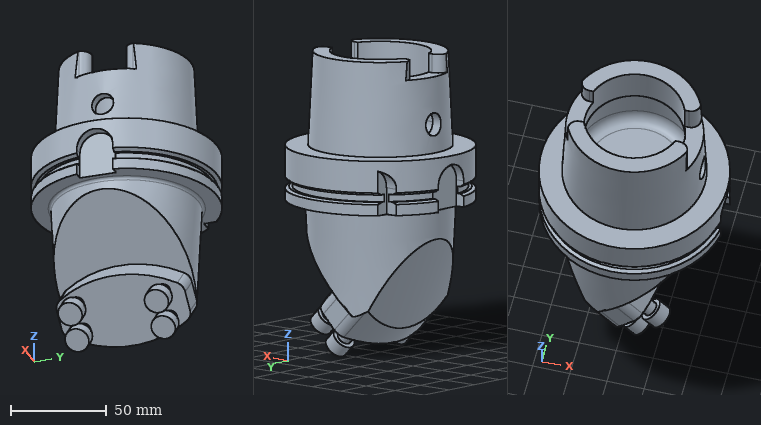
import cadquery as cq
import math


shank_length = 49.9
shank_base_radius = 37.9
shank_top_radius = 35.5
bore_diameter = 53.0
bore_depth = 20.0
cavity_diameter = 63.1
cavity_floor_diameter = 49.9
cross_hole_diameter = 12.0
cross_hole_height = 15.0

key_width = 20.0
left_notch_depth = 9.9
right_notch_depth = 15.0
notch_corner_radius = 5.1
notch_corner_reach = 32.0

flange_diameter = 99.9
flange_thickness = 29.0
groove_radius = 46.0
groove_lip_radius = 47.8
groove_top = -18.2
groove_bottom = -22.0
groove_bevel_top = 1.5
groove_bevel_bottom = 1.0

keyway_floor = 44.0
keyway_top = -4.8
side_slot_floor = 31.8
side_slot_centre = 41.5

neck_radius = 39.5
neck_taper = 0.05
neck_fillet = 1.6
neck_end = -115.1

pad_centre_x = -5.5
pad_centre_z = -79.6
pad_thickness = 14.5
pad_height = 40.0
pad_width = 71.3
pad_arc_radius = 62.7
pad_corner_radius = 6.4

screw_spacing_across = 48.0
screw_spacing_along = 14.9
screw_diameter = 8.0
screw_reach = 6.7
screw_head_diameter = 13.0
screw_head_length = 7.8

relief_angle = 22.5
relief_radius = 119.9
relief_start_x = -38.5
relief_start_z = -46.2

beyond = 239.8

flange_radius = flange_diameter / 2
pad_plane = cq.Plane(origin=(pad_centre_x, 0, pad_centre_z), xDir=(1, 0, 1), normal=(1, 0, -1))


def revolve_profile(points):
    """Turn an outline of (radius, height) points about the Z axis."""
    return cq.Workplane("XZ").polyline(points).close().revolve(360, (0, 0), (0, 1))


def make_shank():
    return revolve_profile([
        (0, 0),
        (shank_base_radius, 0),
        (shank_top_radius, shank_length),
        (0, shank_length),
    ])


def make_cavity():
    """Bore that steps out to a wider cavity, whose wall rounds into a flat floor."""
    bore_radius = bore_diameter / 2
    cavity_radius = cavity_diameter / 2
    floor_radius = cavity_floor_diameter / 2
    step_height = shank_length - bore_depth
    round_radius = cavity_radius - floor_radius
    round_top = cross_hole_height - cross_hole_diameter / 2
    floor_height = round_top - round_radius
    diagonal = round_radius * math.sqrt(0.5)
    return (
        cq.Workplane("XZ")
        .moveTo(0, floor_height)
        .lineTo(floor_radius, floor_height)
        .threePointArc((floor_radius + diagonal, round_top - diagonal), (cavity_radius, round_top))
        .lineTo(cavity_radius, step_height)
        .lineTo(bore_radius, step_height)
        .lineTo(bore_radius, shank_length)
        .lineTo(0, shank_length)
        .close()
        .revolve(360, (0, 0), (0, 1))
    )


def make_cross_hole():
    hole = cq.Workplane("YZ").center(0, cross_hole_height).circle(cross_hole_diameter / 2)
    return hole.extrude(flange_radius, both=True)


def make_notch(side, depth):
    """Drive notch on the +X (side = 1) or -X (side = -1) rim, flaring out in round corners."""
    half_width = key_width / 2
    arc_start_x = notch_corner_reach - notch_corner_radius
    arc_end_y = half_width + notch_corner_radius
    diagonal = notch_corner_radius * math.sqrt(0.5)
    arc_mid_x = arc_start_x + diagonal
    arc_mid_y = arc_end_y - diagonal
    outline = (
        cq.Workplane("XY", origin=(0, 0, shank_length - depth))
        .moveTo(0, half_width)
        .lineTo(side * arc_start_x, half_width)
        .threePointArc((side * arc_mid_x, arc_mid_y), (side * notch_corner_reach, arc_end_y))
        .lineTo(side * notch_corner_reach, shank_base_radius)
        .lineTo(side * flange_radius, shank_base_radius)
        .lineTo(side * flange_radius, -shank_base_radius)
        .lineTo(side * notch_corner_reach, -shank_base_radius)
        .lineTo(side * notch_corner_reach, -arc_end_y)
        .threePointArc((side * arc_mid_x, -arc_mid_y), (side * arc_start_x, -half_width))
        .lineTo(0, -half_width)
        .close()
    )
    return outline.extrude(depth)


def make_flange():
    return revolve_profile([
        (0, 0),
        (flange_radius, 0),
        (flange_radius, groove_top + groove_bevel_top),
        (groove_lip_radius, groove_top),
        (groove_radius, groove_top),
        (groove_radius, groove_bottom),
        (groove_lip_radius, groove_bottom),
        (flange_radius, groove_bottom - groove_bevel_bottom),
        (flange_radius, -flange_thickness),
        (0, -flange_thickness),
    ])


def make_rim_slot(side, floor, centre_y):
    """Slot along X, round at the top and open below, from its floor out past the rim."""
    half_width = key_width / 2
    arc_centre = keyway_top - half_width
    outline = (
        cq.Workplane("YZ", origin=(side * floor, centre_y, 0))
        .moveTo(-half_width, -flange_thickness)
        .lineTo(-half_width, arc_centre)
        .threePointArc((0, keyway_top), (half_width, arc_centre))
        .lineTo(half_width, -flange_thickness)
        .close()
    )
    return outline.extrude(side * flange_radius)


def make_neck():
    fillet_end = -flange_thickness - neck_fillet
    tip_radius = neck_radius + neck_taper * (neck_end - fillet_end)
    diagonal = neck_fillet * (1 - math.sqrt(0.5))
    return (
        cq.Workplane("XZ")
        .moveTo(0, -flange_thickness)
        .lineTo(neck_radius + neck_fillet, -flange_thickness)
        .threePointArc(
            (neck_radius + diagonal, -flange_thickness - diagonal),
            (neck_radius, fillet_end),
        )
        .lineTo(tip_radius, neck_end)
        .lineTo(0, neck_end)
        .close()
        .revolve(360, (0, 0), (0, 1))
    )


def make_pad_prism(back, front):
    """Pad section, an arc above and below between flat sides, as a prism along its normal."""
    half_height = pad_height / 2
    half_width = pad_width / 2
    arc_drop = pad_arc_radius - math.sqrt(pad_arc_radius**2 - half_width**2)
    side_half = half_height - arc_drop
    return (
        cq.Workplane(pad_plane)
        .workplane(offset=back)
        .moveTo(-side_half, -half_width)
        .lineTo(side_half, -half_width)
        .threePointArc((half_height, 0), (side_half, half_width))
        .lineTo(-side_half, half_width)
        .threePointArc((-half_height, 0), (-side_half, -half_width))
        .close()
        .extrude(front - back)
        .edges("|(1, 0, -1)")
        .fillet(pad_corner_radius)
    )


def make_neck_envelope():
    """Space the neck may fill behind the mounting face: the pad section below, open above."""
    arc_centre_drop = pad_arc_radius - pad_height / 2
    corner_centre_offset = pad_width / 2 - pad_corner_radius
    corner_centre_distance = pad_arc_radius - pad_corner_radius
    flat_half = math.sqrt(corner_centre_distance**2 - corner_centre_offset**2) - arc_centre_drop
    upper = (
        cq.Workplane(pad_plane)
        .center(beyond / 2 - flat_half, 0)
        .rect(beyond, beyond)
        .extrude(-beyond)
    )
    return upper.union(make_pad_prism(-beyond, 0))


def make_screws():
    def rods(diameter, start, length):
        return (
            cq.Workplane(pad_plane)
            .workplane(offset=start)
            .rarray(screw_spacing_along, screw_spacing_across, 2, 2)
            .circle(diameter / 2)
            .extrude(length)
        )

    shafts = rods(screw_diameter, 0, pad_thickness + screw_reach)
    heads = rods(screw_head_diameter, pad_thickness + screw_reach, screw_head_length)
    return shafts.union(heads)


def make_relief_envelope():
    """Large cylinder along the relief slope; material outside it is cut from the neck."""
    slope = math.radians(relief_angle)
    axis_plane = cq.Plane(
        origin=(
            relief_start_x + relief_radius * math.cos(slope),
            0,
            relief_start_z + relief_radius * math.sin(slope),
        ),
        xDir=(0, 1, 0),
        normal=(math.sin(slope), 0, -math.cos(slope)),
    )
    return cq.Workplane(axis_plane).circle(relief_radius).extrude(beyond, both=True)


neck = make_neck().intersect(make_neck_envelope())
head = neck.union(make_pad_prism(0, pad_thickness)).intersect(make_relief_envelope())

flange = make_flange()
for side in (1, -1):
    flange = flange.cut(make_rim_slot(side, keyway_floor, 0))
flange = flange.cut(make_rim_slot(-1, side_slot_floor, side_slot_centre))

shank = make_shank()
shank = shank.cut(make_notch(-1, left_notch_depth))
shank = shank.cut(make_notch(1, right_notch_depth))
shank = shank.cut(make_cross_hole())

result = shank.union(flange).union(head).union(make_screws())
result = result.cut(make_cavity())